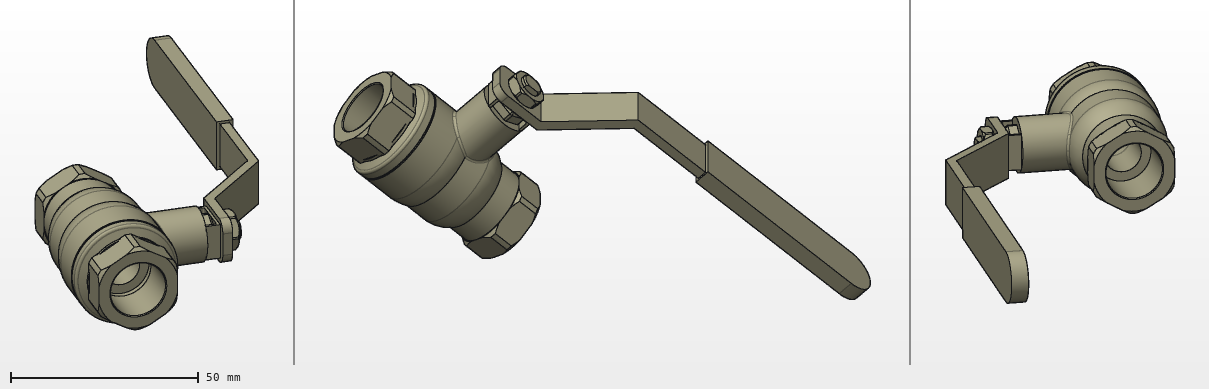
import cadquery as cq
import math


END_X = 27.5
PORT_DIAMETER = 15.4
PORT_DEPTH = 14.5
PORT_CHAMFER = 0.3
BORE_DIAMETER = 10.2

WRENCH_FLATS = 22.0
WRENCH_CORNERS = 24.5
WRENCH_CHAMFER = 1.0
INLET_HEX_LENGTH = 7.8

PIPE_RADIUS = 11.0
SHOULDER_RADIUS = 13.5
BARREL_DIAMETER = 29.0
BARREL_RADIUS = BARREL_DIAMETER / 2
PIPE_END_X = -13.3
SHOULDER_START_X = -6.9
SHOULDER_END_X = 0.3
BARREL_START_X = 5.4
JOINT_X = 14.7
JOINT_GROOVE_WIDTH = 0.4
JOINT_GROOVE_DEPTH = 0.1

NECK_DIAMETER = 15.1
NECK_TOP_Y = 26.0
NECK_FILLET = 0.7

COLLAR_ROUND_X = 16.9
COLLAR_ROUND = 0.8
COLLAR_END_X = 18.5
SPIGOT_RADIUS = 11.4
SPIGOT_END_X = 19.4

LEVER_WIDTH = 12.6
LEVER_THICKNESS = 2.8
LEVER_SEAT_Y = 30.0
LEVER_GRIP_Y = 48.3
LEVER_TIP_X = 8.2
LEVER_TIP_FILLET = 3.2
BEND_ANGLE = math.radians(45)
LOWER_BEND_X = -8.1
UPPER_BEND_X = LOWER_BEND_X - (LEVER_GRIP_Y - LEVER_SEAT_Y) / math.tan(BEND_ANGLE)
BEND_SHIFT = LEVER_THICKNESS * math.tan(BEND_ANGLE / 2)

FORK_WIDTH = 12.1
FORK_DEPTH = 9.9
FORK_WALL = 0.8
FORK_INNER_FILLET = 0.5

SLEEVE_END_X = -110.0
SLEEVE_MOUTH_X = -50.0
SLEEVE_WIDTH = 14.2
SLEEVE_THICKNESS = 4.7
SLEEVE_END_WALL = (SLEEVE_WIDTH - LEVER_WIDTH) / 2

STEM_FLATS = 10.2
STEM_CORNERS = 11.3
STEM_CHAMFER = 0.7
STUD_DIAMETER = 6.3
STUD_FLATS = 4.7
STUD_TOP_Y = 37.0
STUD_CHAMFER = 0.4

NUT_FLATS = 9.9
NUT_CORNERS = 11.1
NUT_HEIGHT = 3.0
NUT_CHAMFER = 0.5

STEM_HEX_TOP_Y = LEVER_SEAT_Y - FORK_WALL
LEVER_TOP_Y = LEVER_SEAT_Y + LEVER_THICKNESS


def hex_bar(flats, corners, length):
    """Hexagon bar along +Z, two corners on X, with narrow flats on its corners.

    flats and corners are the sizes across the six sides and across the truncated corners.
    """
    sharp_corners = 2 * flats / math.sqrt(3)
    bar = cq.Workplane("XY").polygon(6, sharp_corners).extrude(length)
    corner_cutter = cq.Workplane("XY").polygon(6, 2 * corners / math.sqrt(3)).extrude(length)
    return bar.intersect(corner_cutter.rotate((0, 0, 0), (0, 0, 1), 30))


def nut_bar(flats, corners, length, chamfer, ends):
    """Hexagon bar with its corners turned down to a cone at the selected ends."""
    turning = cq.Workplane("XY").circle(corners / 2).extrude(length).faces(ends).chamfer(chamfer)
    return hex_bar(flats, corners, length).intersect(turning)


def along_x(shape, x):
    """Lay a shape built along +Z along +X, starting at x."""
    return shape.rotate((0, 0, 0), (0, 1, 0), 90).translate((x, 0, 0))


def along_y(shape, y):
    """Lay a shape built along +Z along +Y, starting at y."""
    return shape.rotate((0, 0, 0), (1, 0, 0), -90).translate((0, y, 0))


def flow_passage():
    """Bore through the valve with a wider, chamfered port at each end."""
    port = PORT_DIAMETER / 2
    bore = BORE_DIAMETER / 2
    step_x = END_X - PORT_DEPTH
    half = (
        cq.Workplane("XY")
        .polyline([
            (0, 0),
            (0, bore),
            (step_x, bore),
            (step_x, port),
            (END_X - PORT_CHAMFER, port),
            (END_X, port + PORT_CHAMFER),
            (END_X, 0),
        ])
        .close()
        .revolve(360, (0, 0, 0), (1, 0, 0))
    )
    return half.union(half.mirror("YZ"))


def dome_middle(x0, r0, x1, r1):
    """Middle point of the arc from (x0, r0) that ends level with the axis at (x1, r1)."""
    run = x1 - x0
    rise = r1 - r0
    radius = (run**2 + rise**2) / (2 * rise)
    half_angle = math.asin(run / radius) / 2
    return (x1 - radius * math.sin(half_angle), r1 - radius * (1 - math.cos(half_angle)))


def make_housing():
    groove_x = JOINT_X - JOINT_GROOVE_WIDTH
    groove_radius = BARREL_RADIUS - JOINT_GROOVE_DEPTH
    inlet_hex_end_x = INLET_HEX_LENGTH - END_X
    shoulder_dome = dome_middle(PIPE_END_X, PIPE_RADIUS, SHOULDER_START_X, SHOULDER_RADIUS)
    barrel_dome = dome_middle(SHOULDER_END_X, SHOULDER_RADIUS, BARREL_START_X, BARREL_RADIUS)
    shell = (
        cq.Workplane("XY")
        .moveTo(inlet_hex_end_x, 0)
        .lineTo(inlet_hex_end_x, PIPE_RADIUS)
        .lineTo(PIPE_END_X, PIPE_RADIUS)
        .threePointArc(shoulder_dome, (SHOULDER_START_X, SHOULDER_RADIUS))
        .lineTo(SHOULDER_END_X, SHOULDER_RADIUS)
        .threePointArc(barrel_dome, (BARREL_START_X, BARREL_RADIUS))
        .lineTo(groove_x, BARREL_RADIUS)
        .lineTo(groove_x, groove_radius)
        .lineTo(JOINT_X, groove_radius)
        .lineTo(JOINT_X, 0)
        .close()
        .revolve(360, (0, 0, 0), (1, 0, 0))
    )
    neck = along_y(cq.Workplane("XY").circle(NECK_DIAMETER / 2).extrude(NECK_TOP_Y), 0)
    body = shell.union(neck).edges("%BSPLINE").fillet(NECK_FILLET)
    inlet_hex = nut_bar(WRENCH_FLATS, WRENCH_CORNERS, INLET_HEX_LENGTH, WRENCH_CHAMFER, "<Z or >Z")
    return body.union(along_x(inlet_hex, -END_X)).cut(flow_passage())


def make_end_cap():
    collar_face_x = COLLAR_ROUND_X + COLLAR_ROUND
    collar = (
        cq.Workplane("XY")
        .moveTo(JOINT_X, 0)
        .lineTo(JOINT_X, BARREL_RADIUS)
        .lineTo(COLLAR_ROUND_X, BARREL_RADIUS)
        .radiusArc((collar_face_x, BARREL_RADIUS - COLLAR_ROUND), COLLAR_ROUND)
        .lineTo(COLLAR_END_X, SPIGOT_RADIUS)
        .lineTo(SPIGOT_END_X, SPIGOT_RADIUS)
        .lineTo(SPIGOT_END_X, 0)
        .close()
        .revolve(360, (0, 0, 0), (1, 0, 0))
    )
    outlet_hex = nut_bar(WRENCH_FLATS, WRENCH_CORNERS, END_X - COLLAR_END_X, WRENCH_CHAMFER, ">Z")
    return collar.union(along_x(outlet_hex, COLLAR_END_X)).cut(flow_passage())


def make_stud(length):
    """Round stud along +Z with two flats facing the Z sides of the valve."""
    flats = cq.Workplane("XY").rect(STUD_DIAMETER, STUD_FLATS).extrude(length)
    rod = cq.Workplane("XY").circle(STUD_DIAMETER / 2).extrude(length)
    return rod.faces(">Z").chamfer(STUD_CHAMFER).intersect(flats)


def make_stem():
    stem_hex = (
        hex_bar(STEM_FLATS, STEM_CORNERS, STEM_HEX_TOP_Y - NECK_TOP_Y)
        .faces(">Z")
        .chamfer(STEM_CHAMFER)
        .rotate((0, 0, 0), (0, 0, 1), 30)
    )
    stud = make_stud(STUD_TOP_Y - NECK_TOP_Y)
    return along_y(stem_hex.union(stud), NECK_TOP_Y)


def make_lever_strip():
    tip_x = SLEEVE_END_X + SLEEVE_END_WALL
    grip_top_y = LEVER_GRIP_Y + LEVER_THICKNESS
    bent_strip = (
        cq.Workplane("XY")
        .polyline([
            (tip_x, LEVER_GRIP_Y),
            (UPPER_BEND_X, LEVER_GRIP_Y),
            (LOWER_BEND_X, LEVER_SEAT_Y),
            (LEVER_TIP_X, LEVER_SEAT_Y),
            (LEVER_TIP_X, LEVER_TOP_Y),
            (LOWER_BEND_X + BEND_SHIFT, LEVER_TOP_Y),
            (UPPER_BEND_X + BEND_SHIFT, grip_top_y),
            (tip_x, grip_top_y),
        ])
        .close()
        .extrude(LEVER_WIDTH / 2, both=True)
    )
    grip_round_x = tip_x + LEVER_WIDTH / 2
    edge_z = LEVER_WIDTH / 2
    outline = (
        cq.Workplane("XZ")
        .moveTo(grip_round_x, edge_z)
        .lineTo(LEVER_TIP_X, edge_z)
        .lineTo(LEVER_TIP_X, -edge_z)
        .lineTo(grip_round_x, -edge_z)
        .threePointArc((tip_x, 0), (grip_round_x, edge_z))
        .close()
        .extrude(-grip_top_y)
        .edges("|Y and >X")
        .fillet(LEVER_TIP_FILLET)
    )
    return bent_strip.intersect(outline)


def make_fork():
    height = LEVER_SEAT_Y - NECK_TOP_Y
    block = cq.Workplane("XY").box(FORK_WIDTH, height, FORK_DEPTH)
    opening = (
        cq.Workplane("XY")
        .box(FORK_WIDTH - 2 * FORK_WALL, height, FORK_DEPTH)
        .edges("|Z and >Y")
        .fillet(FORK_INNER_FILLET)
        .translate((0, -FORK_WALL, 0))
    )
    return block.cut(opening).translate((0, NECK_TOP_Y + height / 2, 0))


def make_lever():
    return make_lever_strip().union(make_fork()).cut(make_stem())


def make_sleeve():
    round_x = SLEEVE_END_X + SLEEVE_WIDTH / 2
    edge_z = SLEEVE_WIDTH / 2
    base_y = LEVER_GRIP_Y - (SLEEVE_THICKNESS - LEVER_THICKNESS) / 2
    block = (
        cq.Workplane("XZ", origin=(0, base_y, 0))
        .moveTo(round_x, edge_z)
        .lineTo(SLEEVE_MOUTH_X, edge_z)
        .lineTo(SLEEVE_MOUTH_X, -edge_z)
        .lineTo(round_x, -edge_z)
        .threePointArc((SLEEVE_END_X, 0), (round_x, edge_z))
        .close()
        .extrude(-SLEEVE_THICKNESS)
    )
    return block.cut(make_lever_strip())


def make_nut():
    nut = nut_bar(NUT_FLATS, NUT_CORNERS, NUT_HEIGHT, NUT_CHAMFER, "<Z or >Z")
    nut = nut.cut(cq.Workplane("XY").circle(STUD_DIAMETER / 2).extrude(NUT_HEIGHT))
    return along_y(nut, LEVER_TOP_Y)


housing = make_housing()
end_cap = make_end_cap()
stem = make_stem()
lever = make_lever()
sleeve = make_sleeve()
nut = make_nut()

result = cq.Compound.makeCompound([
    housing.val(),
    end_cap.val(),
    stem.val(),
    lever.val(),
    sleeve.val(),
    nut.val(),
])